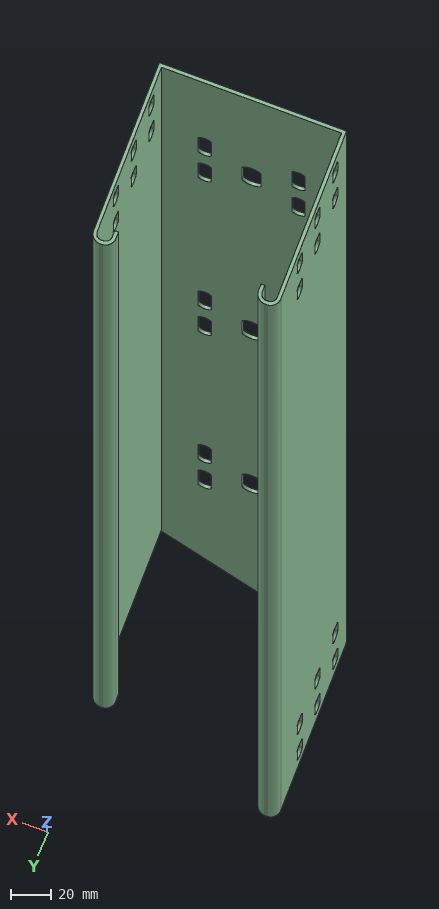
import cadquery as cq

width = 100.0
depth = 98.0
length = 1000.0
sheet = 2.0

lip_width = 12.0
lip_drop = 9.0
lip_radius = 5.5

short_wall_bottom = 95.0
web_toe_width = 3.0

slot_width = 7.0

web_slot_length = 32.0
wide_slot_width = 10.0
web_group_heights = [250.0, 550.0, 850.0]
web_slot_pitch = 50.0

wall_slot_length = 22.0
wall_row_offsets = [25.0, 75.0]
wall_slot_pitch = 25.0
wall_slots_per_row = 3
first_wall_slot = 16.0

half_width = width / 2


def bar(x, y, size_x, size_y, bottom):
    """Upright bar with its corner at (x, y), from the given bottom to the top of the channel."""
    return cq.Workplane("XY").box(size_x, size_y, length - bottom, centered=False).translate((x, y, bottom))


def side_wall(bottom):
    """Left-hand wall, topped by a lip that is folded inwards and down."""
    wall = bar(-half_width, 0, sheet, depth - lip_radius, bottom)
    lip = (
        bar(-half_width, depth - lip_drop, lip_width, lip_drop, bottom)
        .edges("|Z and >Y")
        .fillet(lip_radius)
    )
    hollow = (
        bar(-half_width + sheet, depth - lip_drop, lip_width - 2 * sheet, lip_drop - sheet, bottom)
        .edges("|Z and >Y")
        .fillet(lip_radius - sheet)
    )
    return wall.union(lip.cut(hollow))


def web_slot(x, z, size_across):
    """Cutter for an upright slot through the web."""
    return (
        cq.Workplane("XZ", origin=(x, 2 * sheet, z))
        .slot2D(web_slot_length, size_across, 90)
        .extrude(3 * sheet)
    )


def wall_slot(y, z):
    """Cutter for a slot that runs across the channel through both side walls."""
    return (
        cq.Workplane("YZ", origin=(-width, y, z))
        .slot2D(wall_slot_length, slot_width, 90)
        .extrude(2 * width)
    )


web = (
    cq.Workplane("XZ", origin=(0, sheet, 0))
    .moveTo(-half_width, 0)
    .lineTo(-half_width + web_toe_width, 0)
    .lineTo(half_width, short_wall_bottom)
    .lineTo(half_width, length)
    .lineTo(-half_width, length)
    .close()
    .extrude(sheet)
)
long_wall = side_wall(0)
short_wall = side_wall(short_wall_bottom).mirror("YZ")
channel = web.union(long_wall).union(short_wall)

for z in web_group_heights:
    channel = channel.cut(web_slot(0, z, wide_slot_width))
    for side in (-1, 1):
        for end in (-1, 1):
            channel = channel.cut(
                web_slot(side * web_slot_pitch / 2, z + end * web_slot_pitch / 2, slot_width)
            )

for offset in wall_row_offsets:
    for z in (offset, length - offset):
        for i in range(wall_slots_per_row):
            channel = channel.cut(wall_slot(first_wall_slot + i * wall_slot_pitch, z))

result = channel